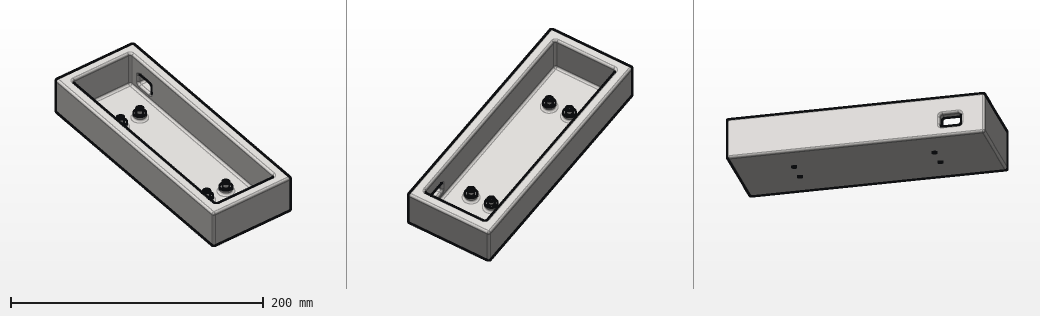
import cadquery as cq

length = 210.5
width = 77.3
height = 34.5
edge_radius = 2.0

rim_width = 8.0
wall = rim_width + edge_radius
floor_height = 3.0
cavity_length = length - 2 * wall
cavity_width = width - 2 * wall

standoff_spacing_x = 114.3
standoff_spacing_y = 19.0
collar_diameter = 10.0
collar_height = 4.6
stud_diameter = 5.7
stud_height = 4.6
bore_diameter = 3.2

window_length = 16.8
window_height = 10.0
window_right = -68.6
window_bottom = 9.0

pick_margin = 0.2


def edges_within(low_corner, high_corner):
    """Selector for the edges lying wholly inside a box, widened by the pick margin."""
    low = tuple(value - pick_margin for value in low_corner)
    high = tuple(value + pick_margin for value in high_corner)
    return cq.selectors.BoxSelector(low, high, boundingbox=True)


def make_tray():
    """Rounded box hollowed from the top, with a rounded rim."""
    centering = (True, True, False)
    outer = cq.Workplane("XY").box(length, width, height, centered=centering).edges().fillet(edge_radius)
    cavity = (
        cq.Workplane("XY")
        .workplane(offset=floor_height)
        .box(cavity_length, cavity_width, height, centered=centering)
        .edges("|Z or <Z")
        .fillet(edge_radius)
    )
    rim = edges_within(
        (-cavity_length / 2, -cavity_width / 2, height),
        (cavity_length / 2, cavity_width / 2, height),
    )
    return outer.cut(cavity).edges(rim).fillet(edge_radius)


def cut_window(tray):
    """Cut the window with rounded corners, then round its inner and outer mouths."""
    outer_face = width / 2
    inner_face = outer_face - wall
    window_left = window_right - window_length
    window_top = window_bottom + window_height
    window = (
        cq.Workplane("XY")
        .box(window_length, wall, window_height, centered=False)
        .edges("|Y")
        .fillet(edge_radius)
        .translate((window_left, inner_face, window_bottom))
    )
    tray = tray.cut(window)
    for face_y in (inner_face, outer_face):
        mouth = edges_within((window_left, face_y, window_bottom), (window_right, face_y, window_top))
        tray = tray.edges(mouth).fillet(edge_radius)
    return tray


def make_standoff():
    """Collar and thinner stud, with a concave foot blending into the floor.

    The local origin is at floor level; a root below it overlaps the floor.
    """
    collar_radius = collar_diameter / 2
    stud_radius = stud_diameter / 2
    foot_radius = collar_radius + edge_radius
    stud_top = collar_height + stud_height
    root = -floor_height / 2
    return (
        cq.Workplane("XZ")
        .moveTo(0, root)
        .lineTo(foot_radius, root)
        .lineTo(foot_radius, 0)
        .radiusArc((collar_radius, edge_radius), edge_radius)
        .lineTo(collar_radius, collar_height)
        .lineTo(stud_radius, collar_height)
        .lineTo(stud_radius, stud_top)
        .lineTo(0, stud_top)
        .close()
        .revolve(360, (0, 0, 0), (0, 1, 0))
    )


def add_standoffs(tray):
    """Place the standoffs and bore each one through the floor."""
    places = [
        (side_x * standoff_spacing_x / 2, side_y * standoff_spacing_y / 2)
        for side_x in (-1, 1)
        for side_y in (-1, 1)
    ]
    for x, y in places:
        tray = tray.union(make_standoff().translate((x, y, floor_height)))
    bores = cq.Workplane("XY").pushPoints(places).circle(bore_diameter / 2).extrude(height)
    return tray.cut(bores)


result = add_standoffs(cut_window(make_tray()))